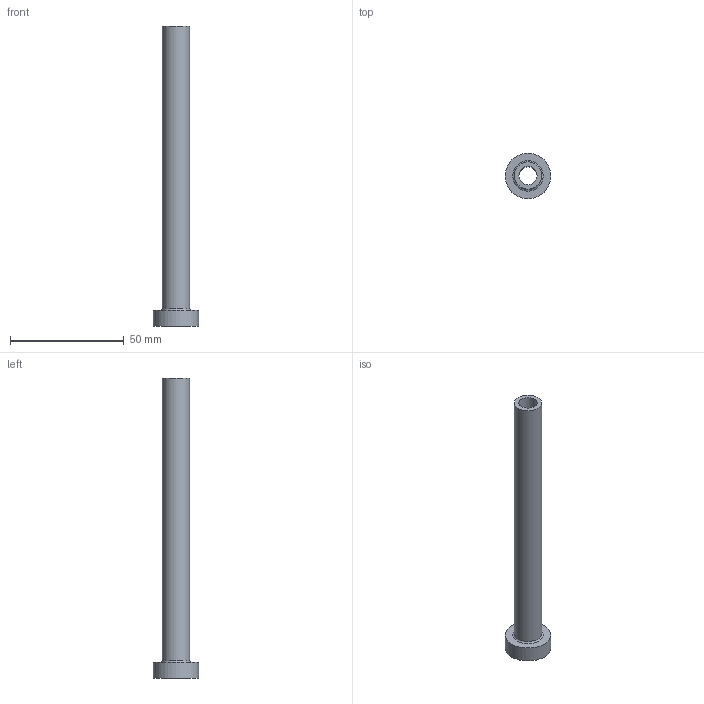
import cadquery as cq
import math

total_length = 132.0
head_diameter = 20.0
head_height = 7.0
shank_diameter = 12.0
bore_diameter = 8.0
neck_fillet_radius = 0.7

head_radius = head_diameter / 2
shank_radius = shank_diameter / 2
bore_radius = bore_diameter / 2


def neck_fillet_midpoint():
    """Point halfway along the concave fillet, as (radius, height)."""
    diagonal_offset = neck_fillet_radius * (1 - math.sqrt(0.5))
    return (shank_radius + diagonal_offset, head_height + diagonal_offset)


def sleeve():
    """Revolve the wall section about Z: round head, filleted neck, long shank, through bore."""
    wall_section = (
        cq.Workplane("XZ")
        .moveTo(bore_radius, 0)
        .lineTo(head_radius, 0)
        .lineTo(head_radius, head_height)
        .lineTo(shank_radius + neck_fillet_radius, head_height)
        .threePointArc(
            neck_fillet_midpoint(),
            (shank_radius, head_height + neck_fillet_radius),
        )
        .lineTo(shank_radius, total_length)
        .lineTo(bore_radius, total_length)
        .close()
    )
    return wall_section.revolve(360, (0, 0, 0), (0, 1, 0))


result = sleeve()